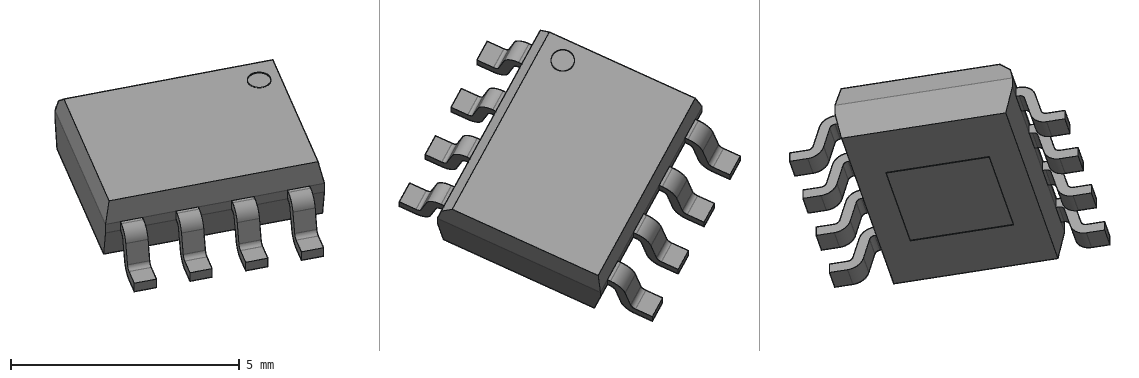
import cadquery as cq
import math

span = 6.2
body_width = 4.0
body_length = 5.0
top_z = 1.68
standoff = 0.135
draft = 11.5
bevel = 0.25

leads_per_side = 4
lead_pitch = 1.27
lead_width = 0.51
lead_thickness = 0.25
lead_top_z = 1.12
lead_lean = 15.0
shoulder = 0.075
bend_radius = lead_thickness

dimple_diameter = 0.515
dimple_depth = 0.025
dimple_x = -1.12

pad_size = 2.325
pad_thickness = 0.02

side_x = body_width / 2
lead_bottom_z = lead_top_z - lead_thickness
first_lead_y = (leads_per_side - 1) * lead_pitch / 2
draft_run = math.tan(math.radians(draft))


def make_housing():
    """Housing: upper part drafted on four sides, lower part drafted on the lead sides only."""
    upper_height = top_z - lead_top_z
    top_x = side_x - upper_height * draft_run
    bottom_x = side_x - (lead_bottom_z - standoff) * draft_run

    lower = (
        cq.Workplane("XZ")
        .polyline([
            (-side_x, lead_top_z),
            (side_x, lead_top_z),
            (side_x, lead_bottom_z),
            (bottom_x, standoff),
            (-bottom_x, standoff),
            (-side_x, lead_bottom_z),
        ])
        .close()
        .extrude(body_length / 2, both=True)
    )
    upper = (
        cq.Workplane("XY", origin=(0, 0, lead_top_z))
        .rect(body_width, body_length)
        .extrude(upper_height, taper=draft)
    )

    bevel_start_x = -top_x - bevel * draft_run
    bevel_waste = (
        cq.Workplane("XZ")
        .polyline([
            (bevel_start_x, top_z - bevel),
            (bevel_start_x + bevel, top_z),
            (-side_x, top_z),
            (-side_x, top_z - bevel),
        ])
        .close()
        .extrude(body_length / 2, both=True)
    )
    dimple = (
        cq.Workplane("XY", origin=(dimple_x, first_lead_y, top_z - dimple_depth))
        .circle(dimple_diameter / 2)
        .extrude(dimple_depth)
    )
    return lower.union(upper).cut(bevel_waste).cut(dimple)


def make_lead(y):
    """Gull-wing lead on the +X side: a flat strip swept along its bent centreline."""
    turn = math.radians(90 - lead_lean)
    bend_x = bend_radius * math.sin(turn)
    bend_z = bend_radius * (1 - math.cos(turn))
    upper_z = lead_top_z - lead_thickness / 2
    foot_z = lead_thickness / 2

    shoulder_end = (side_x + shoulder, upper_z)
    shank_top = (shoulder_end[0] + bend_x, upper_z - bend_z)
    shank_bottom_z = foot_z + bend_z
    shank_run = (shank_top[1] - shank_bottom_z) / math.tan(turn)
    shank_bottom = (shank_top[0] + shank_run, shank_bottom_z)
    foot_start = (shank_bottom[0] + bend_x, foot_z)

    centreline = (
        cq.Workplane("XZ", origin=(0, y, 0))
        .moveTo(side_x, upper_z)
        .lineTo(*shoulder_end)
        .radiusArc(shank_top, bend_radius)
        .lineTo(*shank_bottom)
        .radiusArc(foot_start, -bend_radius)
        .lineTo(span / 2, foot_z)
    )
    return (
        cq.Workplane("YZ", origin=(side_x, y, upper_z))
        .rect(lead_width, lead_thickness)
        .sweep(centreline)
    )


def make_leads():
    """Both rows of leads; the -X row mirrors the +X row."""
    leads = []
    for index in range(leads_per_side):
        lead = make_lead(first_lead_y - index * lead_pitch)
        leads.append(lead)
        leads.append(lead.mirror("YZ"))
    return leads


def make_pad():
    """Exposed pad: a thin square plate against the housing underside."""
    return (
        cq.Workplane("XY", origin=(0, 0, standoff - pad_thickness))
        .rect(pad_size, pad_size)
        .extrude(pad_thickness)
    )


housing = make_housing()
leads = make_leads()
pad = make_pad()

result = cq.Compound.makeCompound([
    housing.val(),
    *[lead.val() for lead in leads],
    pad.val(),
])